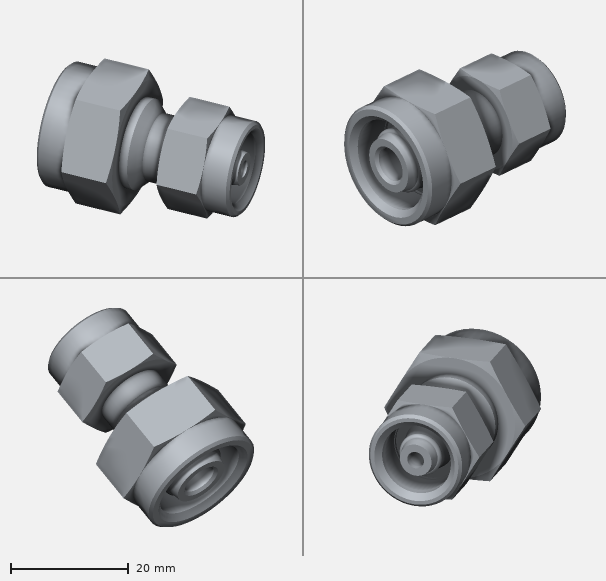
import cadquery as cq
import math

overall_length = 34.4

large_nut_flats = 22.0
large_nut_collar_radius = 10.95
large_nut_hex_length = 9.1
large_bore_radius = 8.188
small_nut_flats = 17.0
small_nut_collar_radius = 8.4
small_nut_hex_length = 8.0
small_bore_radius = 6.188
nut_collar_length = 5.0
nut_rim_chamfer = 0.5
nut_bore_depth = 7.2
mouth_chamfer = 1.05
hex_sides = 6
hex_chamfer_angle = 15.0

large_shank_radius = 8.0
small_shank_radius = 6.0
large_shank_end = 15.6
shank_taper_length = large_shank_radius - small_shank_radius
nose_recess = 0.6
nose_half_angle = 12.0
nose_face_inset = 3.15
nose_base_inset = 1.64
nose_length = (nose_face_inset - nose_base_inset) / math.tan(math.radians(nose_half_angle))
nose_base_depth = nose_recess + nose_length

bead_section_radius = 0.75
bead_depth = 3.25
bead_ring_inset = 2.97

passage_radius = 1.5
wide_bore_radius = 3.0
wide_bore_end = 14.0
wide_bore_chamfer = 0.5
drill_point_half_angle = 59.0

axis = cq.Vector(1, 0, 0)


def revolved(points):
    """Solid of revolution about X from (x, radius) points."""
    return cq.Workplane("XY").polyline(points).close().revolve(360, (0, 0, 0), (1, 0, 0))


def chamfered_hexagon(flats, start, length):
    """Hexagonal prism along X with corners at +Y and -Y and both ends bevelled."""
    flat_radius = flats / 2
    corner_radius = flat_radius / math.cos(math.pi / hex_sides)
    bevel_depth = (corner_radius - flat_radius) * math.tan(math.radians(hex_chamfer_angle))
    end = start + length
    prism = cq.Workplane("YZ", origin=(start, 0, 0)).polygon(hex_sides, 2 * corner_radius).extrude(length)
    envelope = revolved(
        [
            (start, 0),
            (start, flat_radius),
            (start + bevel_depth, corner_radius),
            (end - bevel_depth, corner_radius),
            (end, flat_radius),
            (end, 0),
        ]
    )
    return prism.intersect(envelope)


def swivel_nut(flats, collar_radius, hex_length, bore_radius, shank_radius):
    """Nut with its open mouth at X = 0, fitting closely around the shank at the back."""
    nut_length = nut_collar_length + hex_length
    mouth_radius = bore_radius + mouth_chamfer
    collar = revolved(
        [
            (0, 0),
            (0, collar_radius - nut_rim_chamfer),
            (nut_rim_chamfer, collar_radius),
            (nut_collar_length, collar_radius),
            (nut_collar_length, 0),
        ]
    )
    cavity = revolved(
        [
            (0, 0),
            (0, mouth_radius),
            (mouth_chamfer, bore_radius),
            (nut_bore_depth, bore_radius),
            (nut_bore_depth, shank_radius),
            (nut_length, shank_radius),
            (nut_length, 0),
        ]
    )
    hexagon = chamfered_hexagon(flats, nut_collar_length, hex_length)
    return collar.union(hexagon).cut(cavity)


def sealing_nose(shank_radius):
    """Tapered nose with a rounded bead, pointing toward -X from the shank face."""
    cone = cq.Solid.makeCone(
        shank_radius - nose_face_inset,
        shank_radius - nose_base_inset,
        nose_length,
        cq.Vector(nose_recess, 0, 0),
        axis,
    )
    bead = cq.Solid.makeTorus(
        shank_radius - bead_ring_inset,
        bead_section_radius,
        cq.Vector(bead_depth, 0, 0),
        axis,
    )
    return cq.Workplane(cone).union(cq.Workplane(bead))


def to_small_end(part):
    """Turn a part built at X = 0 round to face +X at the small end."""
    return part.mirror("YZ").translate((overall_length, 0, 0))


def reducer_body():
    """Stepped shank with a nose at each end and a passage right through."""
    shank_end = overall_length - nose_base_depth
    taper_end = large_shank_end + shank_taper_length
    shank = revolved(
        [
            (nose_base_depth, 0),
            (nose_base_depth, large_shank_radius),
            (large_shank_end, large_shank_radius),
            (taper_end, small_shank_radius),
            (shank_end, small_shank_radius),
            (shank_end, 0),
        ]
    )
    drill_point_length = (wide_bore_radius - passage_radius) / math.tan(
        math.radians(drill_point_half_angle)
    )
    passage = revolved(
        [
            (nose_recess, 0),
            (nose_recess, wide_bore_radius + wide_bore_chamfer),
            (nose_recess + wide_bore_chamfer, wide_bore_radius),
            (wide_bore_end, wide_bore_radius),
            (wide_bore_end + drill_point_length, passage_radius),
            (overall_length, passage_radius),
            (overall_length, 0),
        ]
    )
    large_nose = sealing_nose(large_shank_radius)
    small_nose = to_small_end(sealing_nose(small_shank_radius))
    return shank.union(large_nose).union(small_nose).cut(passage)


body = reducer_body()
large_nut = swivel_nut(
    large_nut_flats,
    large_nut_collar_radius,
    large_nut_hex_length,
    large_bore_radius,
    large_shank_radius,
)
small_nut = to_small_end(
    swivel_nut(
        small_nut_flats,
        small_nut_collar_radius,
        small_nut_hex_length,
        small_bore_radius,
        small_shank_radius,
    )
)

result = cq.Compound.makeCompound([part.solids().val() for part in (body, large_nut, small_nut)])